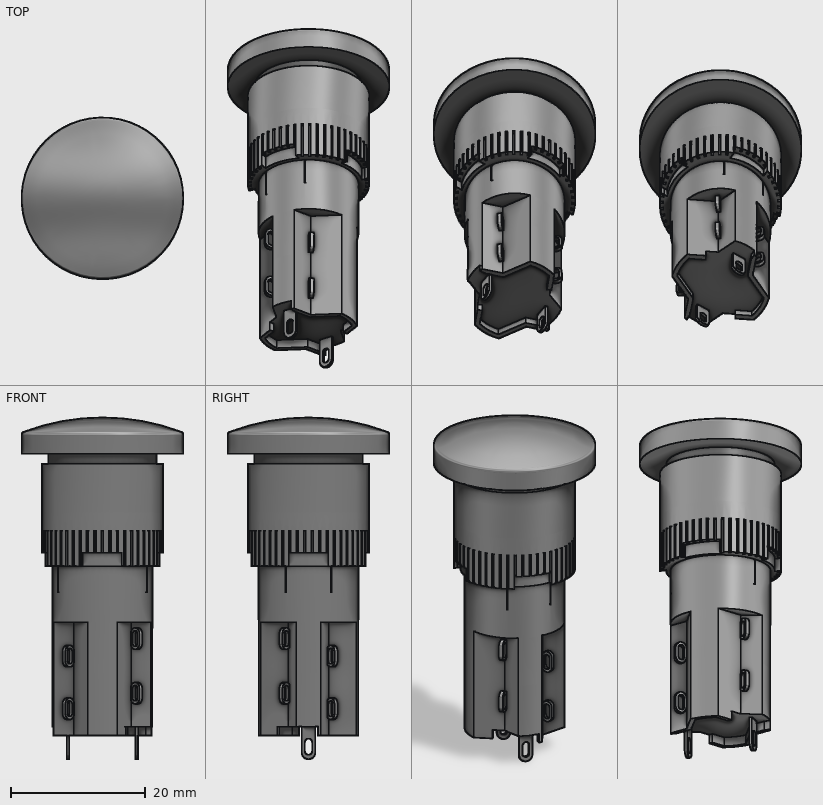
import cadquery as cq
import math

BODY_BOTTOM = 3.5
CAVITY_TOP = 4.85
BODY_JOINT = 12.8
BARREL_BOTTOM = 20.3
SLIT_BOTTOM = 24.8
COLLAR_BOTTOM = 28.65
NOTCH_TOP = 30.6
GROOVE_TOP = 33.9
COLLAR_JOINT = 36.6
COLLAR_TOP = 43.8
HEAD_BOTTOM = 45.3
RIM_TOP = 48.0
DOME_EDGE = 48.6
TOP = 50.7

HEAD_RADIUS = 24 / 2
DOME_RADIUS_AT_EDGE = 11.55
NECK_RADIUS = 16.1 / 2
COLLAR_RADIUS = 18 / 2
BARREL_RADIUS = 14.85 / 2

GROOVE_COUNT = 50
GROOVE_WIDTH = 0.3
GROOVE_DEPTH = 0.5
NOTCH_COUNT = 4
NOTCH_WIDTH = 5.8

FINGER_WIDTH = 6.6
SLIT_WIDTH = 0.13
SLIT_FLOOR_X = 6.3

X_LOBE_HALF_WIDTH = 1.85
Y_LOBE_HALF_WIDTH = 2.18
INNER_CORNER = (4.25, 3.0)
WALL = 0.7
OPENING_HALF_WIDTH = 1.4
OPENING_EDGE_X = 3.43

LUG_ANGLE = 42
LUG_CENTER = (5.04, 3.5)
LUG_WIDTH = 1.75
LUG_HEIGHT = 3.2
LUG_THICKNESS = 0.6
LUG_SLOT_WIDTH = 0.95
LUG_SLOT_HEIGHT = 2.3
HIGH_LUGS = (17.9, 9.8)
LOW_LUGS = (15.3, 7.5)

TERMINAL_X = 5.1
TERMINAL_THICKNESS = 0.42
TERMINAL_WIDTH = 2.06
TERMINAL_SLOT_WIDTH = 1.05
TERMINAL_SLOT_BOTTOM = 0.7
TERMINAL_SLOT_TOP = 3.05

OVERLAP = 0.5


def box_between(x_range, y_range, z_range):
    """Axis-aligned box from its two limits along each axis."""
    lows, highs = zip(x_range, y_range, z_range)
    sizes = [high - low for low, high in zip(lows, highs)]
    return cq.Workplane("XY").box(*sizes, centered=False).translate(lows)


def make_turned_part():
    """Mushroom head, neck, upper collar and barrel as one revolved profile."""
    fillet_slope = math.radians(45)
    rim_depth = HEAD_RADIUS - DOME_RADIUS_AT_EDGE
    rim_height = DOME_EDGE - RIM_TOP
    rim_mid = (
        DOME_RADIUS_AT_EDGE + rim_depth * math.cos(fillet_slope),
        RIM_TOP + rim_height * math.sin(fillet_slope),
    )
    dome_rise = TOP - DOME_EDGE
    sphere_radius = (DOME_RADIUS_AT_EDGE**2 + dome_rise**2) / (2 * dome_rise)
    mid_radius = DOME_RADIUS_AT_EDGE / 2
    dome_mid = (mid_radius, TOP - sphere_radius + math.sqrt(sphere_radius**2 - mid_radius**2))
    return (
        cq.Workplane("XZ")
        .moveTo(0, BARREL_BOTTOM)
        .lineTo(BARREL_RADIUS, BARREL_BOTTOM)
        .lineTo(BARREL_RADIUS, COLLAR_BOTTOM)
        .lineTo(NECK_RADIUS, COLLAR_BOTTOM)
        .lineTo(NECK_RADIUS, COLLAR_JOINT)
        .lineTo(COLLAR_RADIUS, COLLAR_JOINT)
        .lineTo(COLLAR_RADIUS, COLLAR_TOP)
        .lineTo(NECK_RADIUS, COLLAR_TOP)
        .lineTo(NECK_RADIUS, HEAD_BOTTOM)
        .lineTo(HEAD_RADIUS, HEAD_BOTTOM)
        .lineTo(HEAD_RADIUS, RIM_TOP)
        .threePointArc(rim_mid, (DOME_RADIUS_AT_EDGE, DOME_EDGE))
        .threePointArc(dome_mid, (0, TOP))
        .close()
        .revolve(360, (0, 0, 0), (0, 1, 0))
    )


def make_grip_ring():
    """Lower part of the collar, with grip grooves and four notches in its lower edge."""
    ring = (
        cq.Workplane("XY", origin=(0, 0, COLLAR_BOTTOM))
        .circle(COLLAR_RADIUS)
        .circle(NECK_RADIUS)
        .extrude(COLLAR_JOINT - COLLAR_BOTTOM)
    )
    groove = box_between(
        (COLLAR_RADIUS - GROOVE_DEPTH, COLLAR_RADIUS + OVERLAP),
        (-GROOVE_WIDTH / 2, GROOVE_WIDTH / 2),
        (COLLAR_BOTTOM, GROOVE_TOP),
    )
    groove_pitch = 360 / GROOVE_COUNT
    for index in range(GROOVE_COUNT):
        ring = ring.cut(groove.rotate((0, 0, 0), (0, 0, 1), (index + 0.5) * groove_pitch))

    notch = box_between(
        (0, COLLAR_RADIUS + OVERLAP),
        (-NOTCH_WIDTH / 2, NOTCH_WIDTH / 2),
        (COLLAR_BOTTOM, NOTCH_TOP),
    )
    notch_pitch = 360 / NOTCH_COUNT
    for index in range(NOTCH_COUNT):
        ring = ring.cut(notch.rotate((0, 0, 0), (0, 0, 1), index * notch_pitch))
    return ring


def make_slits():
    """Cutters for the narrow slits on both sides of the +X and -X latch fingers."""
    slit = box_between(
        (SLIT_FLOOR_X, COLLAR_RADIUS),
        (FINGER_WIDTH / 2, FINGER_WIDTH / 2 + SLIT_WIDTH),
        (SLIT_BOTTOM, COLLAR_BOTTOM),
    )
    mirrored = slit.mirror("XZ")
    return [slit, mirrored, slit.mirror("YZ"), mirrored.mirror("YZ")]


def body_outline(bottom):
    """Closed cross outline: four arc-ended lobes joined at inner corners."""
    lobe_x = math.sqrt(BARREL_RADIUS**2 - X_LOBE_HALF_WIDTH**2)
    lobe_y = math.sqrt(BARREL_RADIUS**2 - Y_LOBE_HALF_WIDTH**2)
    corner_x, corner_y = INNER_CORNER
    return (
        cq.Workplane("XY", origin=(0, 0, bottom))
        .moveTo(lobe_x, -X_LOBE_HALF_WIDTH)
        .threePointArc((BARREL_RADIUS, 0), (lobe_x, X_LOBE_HALF_WIDTH))
        .lineTo(corner_x, corner_y)
        .lineTo(Y_LOBE_HALF_WIDTH, lobe_y)
        .threePointArc((0, BARREL_RADIUS), (-Y_LOBE_HALF_WIDTH, lobe_y))
        .lineTo(-corner_x, corner_y)
        .lineTo(-lobe_x, X_LOBE_HALF_WIDTH)
        .threePointArc((-BARREL_RADIUS, 0), (-lobe_x, -X_LOBE_HALF_WIDTH))
        .lineTo(-corner_x, -corner_y)
        .lineTo(-Y_LOBE_HALF_WIDTH, -lobe_y)
        .threePointArc((0, -BARREL_RADIUS), (Y_LOBE_HALF_WIDTH, -lobe_y))
        .lineTo(corner_x, -corner_y)
        .close()
    )


def make_wall_opening():
    """Cutter for the +X side of the bottom wall; one edge is square to the lobe flank."""
    corner_x, corner_y = INNER_CORNER
    lobe_y = math.sqrt(BARREL_RADIUS**2 - Y_LOBE_HALF_WIDTH**2)
    run_x = corner_x - Y_LOBE_HALF_WIDTH
    run_y = lobe_y - corner_y
    length = math.hypot(run_x, run_y)
    normal = (run_y / length, -run_x / length)
    edge_y = -corner_y - (corner_x - OPENING_EDGE_X) * run_y / run_x
    inner = (OPENING_EDGE_X - WALL * normal[0], edge_y - WALL * normal[1])
    outer = (OPENING_EDGE_X + BARREL_RADIUS * normal[0], edge_y + BARREL_RADIUS * normal[1])
    return (
        cq.Workplane("XY", origin=(0, 0, BODY_BOTTOM))
        .polyline([inner, outer, (outer[0], OPENING_HALF_WIDTH), (inner[0], OPENING_HALF_WIDTH)])
        .close()
        .extrude(CAVITY_TOP - BODY_BOTTOM)
    )


def make_body():
    """Two stacked cross-shaped blocks, hollow at the bottom with two wall openings."""
    upper = body_outline(BODY_JOINT).extrude(BARREL_BOTTOM - BODY_JOINT)
    lower = body_outline(BODY_BOTTOM).extrude(BODY_JOINT - BODY_BOTTOM)
    cavity = body_outline(BODY_BOTTOM).offset2D(-WALL, "intersection").extrude(CAVITY_TOP - BODY_BOTTOM)
    opening = make_wall_opening()
    lower = lower.cut(cavity).cut(opening).cut(opening.rotate((0, 0, 0), (0, 0, 1), 180))
    return upper.union(lower, clean=False)


def make_lug(height):
    """Slotted upright plate at the +X +Y inner corner, centred at the given height."""
    plate = (
        cq.Workplane("XZ")
        .slot2D(LUG_HEIGHT, LUG_WIDTH, 90)
        .slot2D(LUG_SLOT_HEIGHT, LUG_SLOT_WIDTH, 90)
        .extrude(LUG_THICKNESS / 2, both=True)
    )
    return plate.rotate((0, 0, 0), (0, 0, 1), LUG_ANGLE).translate((*LUG_CENTER, height))


def make_lugs():
    """Low lugs on the +X +Y and -X -Y corners, high lugs on the other two."""
    lugs = []
    for height in LOW_LUGS:
        lugs.append(make_lug(height))
    for height in HIGH_LUGS:
        lugs.append(make_lug(height).mirror("XZ"))
    opposite = [lug.rotate((0, 0, 0), (0, 0, 1), 180) for lug in lugs]
    return lugs + opposite


def make_terminal(x):
    """Flat terminal with a rounded, slotted tip at Z = 0."""
    radius = TERMINAL_WIDTH / 2
    slot_length = TERMINAL_SLOT_TOP - TERMINAL_SLOT_BOTTOM
    slot_middle = (TERMINAL_SLOT_TOP + TERMINAL_SLOT_BOTTOM) / 2
    blade = (
        cq.Workplane("YZ")
        .moveTo(-radius, CAVITY_TOP + OVERLAP)
        .lineTo(-radius, radius)
        .threePointArc((0, 0), (radius, radius))
        .lineTo(radius, CAVITY_TOP + OVERLAP)
        .close()
        .extrude(TERMINAL_THICKNESS / 2, both=True)
    )
    slot = (
        cq.Workplane("YZ")
        .center(0, slot_middle)
        .slot2D(slot_length, TERMINAL_SLOT_WIDTH, 90)
        .extrude(TERMINAL_THICKNESS, both=True)
    )
    return blade.cut(slot).translate((x, 0, 0))


result = make_turned_part()
for slit in make_slits():
    result = result.cut(slit, clean=False)
result = result.union(make_grip_ring(), clean=False)
result = result.union(make_body(), clean=False)
for lug in make_lugs():
    result = result.union(lug, clean=False)
for terminal_x in (-TERMINAL_X, TERMINAL_X):
    result = result.union(make_terminal(terminal_x), clean=False)